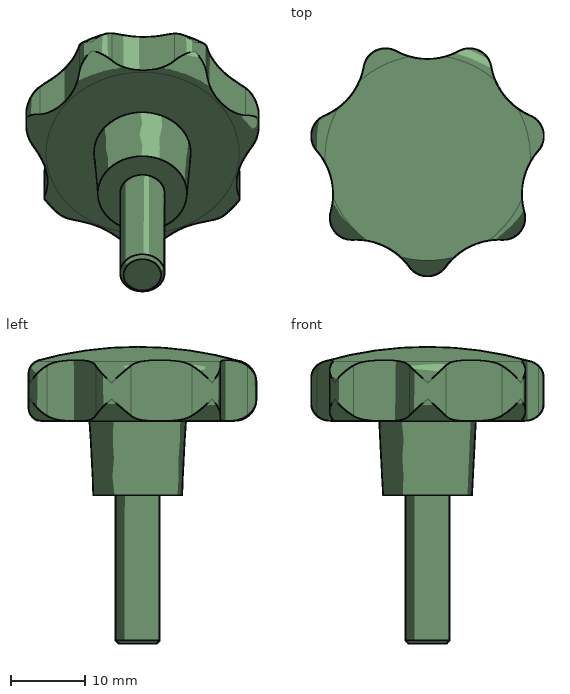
import cadquery as cq
import math

stud_length = 20.0
hub_height = 10.0
head_height = 10.0
hub_end = stud_length + hub_height
total_height = hub_end + head_height

stud_diameter = 6.0
stud_chamfer = 0.5
hub_bottom_diameter = 12.0
hub_top_diameter = 13.05

lobe_count = 7
lobe_radius = 3.0
lobe_centre_radius = 13.0
head_radius = lobe_centre_radius + lobe_radius
flute_depth_radius = 13.3
first_lobe_angle = -90.0
edge_radius = 3.0
dome_radius = 50.0


def polar(radius, degrees):
    angle = math.radians(degrees)
    return (radius * math.cos(angle), radius * math.sin(angle))


def flute_centre_distance():
    """Distance from the axis at which a flute arc is tangent to both neighbouring lobes."""
    half_pitch = math.pi / lobe_count
    inner = flute_depth_radius - lobe_radius
    return (lobe_centre_radius**2 - inner**2) / (2 * (lobe_centre_radius * math.cos(half_pitch) - inner))


def lobed_outline():
    """Closed outline of alternating convex lobes and tangent concave flutes."""
    pitch = 360.0 / lobe_count
    flute_distance = flute_centre_distance()
    flute_radius = flute_distance - flute_depth_radius
    flute_x, flute_y = polar(flute_distance, pitch / 2)
    share = lobe_radius / (lobe_radius + flute_radius)
    tangent_x = lobe_centre_radius + share * (flute_x - lobe_centre_radius)
    tangent_y = share * flute_y
    tangent_radius = math.hypot(tangent_x, tangent_y)
    tangent_angle = math.degrees(math.atan2(tangent_y, tangent_x))

    outline = cq.Workplane("XY").moveTo(*polar(tangent_radius, first_lobe_angle - tangent_angle))
    for index in range(lobe_count):
        angle = first_lobe_angle + index * pitch
        outline = outline.threePointArc(
            polar(head_radius, angle), polar(tangent_radius, angle + tangent_angle)
        )
        outline = outline.threePointArc(
            polar(flute_depth_radius, angle + pitch / 2),
            polar(tangent_radius, angle + pitch - tangent_angle),
        )
    return outline.close()


def domed_blank():
    """Round head blank with a spherical top and rounded upper and lower rims."""
    dome_centre_z = total_height - dome_radius
    rim_centre_x = head_radius - edge_radius
    lower_rim_z = hub_end + edge_radius
    upper_rim_z = dome_centre_z + math.sqrt((dome_radius - edge_radius) ** 2 - rim_centre_x**2)
    dome_edge_angle = math.degrees(math.atan2(upper_rim_z - dome_centre_z, rim_centre_x))

    def on_dome(angle):
        x, rise = polar(dome_radius, angle)
        return (x, dome_centre_z + rise)

    def on_rim(rim_z, angle):
        x, rise = polar(edge_radius, angle)
        return (rim_centre_x + x, rim_z + rise)

    return (
        cq.Workplane("XZ")
        .moveTo(0, hub_end)
        .lineTo(rim_centre_x, hub_end)
        .threePointArc(on_rim(lower_rim_z, -45), (head_radius, lower_rim_z))
        .lineTo(head_radius, upper_rim_z)
        .threePointArc(on_rim(upper_rim_z, dome_edge_angle / 2), on_dome(dome_edge_angle))
        .threePointArc(on_dome((dome_edge_angle + 90) / 2), (0, total_height))
        .close()
        .revolve(360, (0, 0, 0), (0, 1, 0))
    )


def head():
    prism = lobed_outline().extrude(head_height).translate((0, 0, hub_end))
    return prism.intersect(domed_blank())


def hub():
    return (
        cq.Workplane("XY", origin=(0, 0, stud_length))
        .circle(hub_bottom_diameter / 2)
        .workplane(offset=hub_height)
        .circle(hub_top_diameter / 2)
        .loft(ruled=True)
    )


def stud():
    return (
        cq.Workplane("XY")
        .circle(stud_diameter / 2)
        .extrude(stud_length)
        .faces("<Z")
        .chamfer(stud_chamfer)
    )


result = head().union(hub()).union(stud())